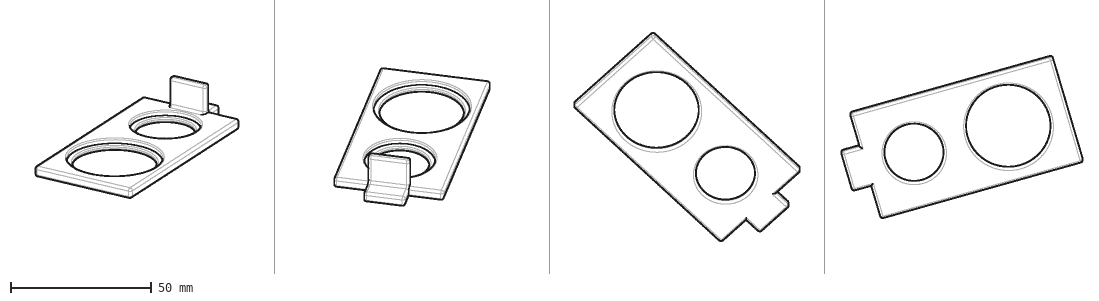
import cadquery as cq

PLATE_WIDTH = 40.0
PLATE_LENGTH = 75.0
PLATE_THICKNESS = 4.0
EDGE_RADIUS = 1.0

OVERALL_LENGTH = 82.0
OVERALL_HEIGHT = 15.0
HOOK_WIDTH = 15.0
UPRIGHT_THICKNESS = 3.0
HOOK_EMBED = 8.0

RIM_RADIUS = 0.5
SEAT_DEPTH = 2.0
SMALL_BORE, SMALL_SEAT = 21.0, 25.3
LARGE_BORE, LARGE_SEAT = 30.0, 34.3
SMALL_CENTER_TO_REAR = 18.0
SMALL_CENTER_Y = PLATE_LENGTH - SMALL_CENTER_TO_REAR
LARGE_CENTER_Y = 22.05


def make_plate():
    plate = cq.Workplane("XY").box(
        PLATE_WIDTH, PLATE_LENGTH, PLATE_THICKNESS, centered=(True, False, False)
    )
    return plate.edges().fillet(EDGE_RADIUS)


def make_hook():
    """Inverted T: flared upright on a tab, with every outer edge rounded."""
    front_face = PLATE_LENGTH - UPRIGHT_THICKNESS
    flare_top = PLATE_THICKNESS + EDGE_RADIUS
    hook = (
        cq.Workplane("YZ", origin=(-HOOK_WIDTH / 2, 0, 0))
        .moveTo(PLATE_LENGTH - HOOK_EMBED, 0)
        .lineTo(OVERALL_LENGTH, 0)
        .lineTo(OVERALL_LENGTH, PLATE_THICKNESS)
        .lineTo(PLATE_LENGTH + EDGE_RADIUS, PLATE_THICKNESS)
        .radiusArc((PLATE_LENGTH, flare_top), EDGE_RADIUS)
        .lineTo(PLATE_LENGTH, OVERALL_HEIGHT)
        .lineTo(front_face, OVERALL_HEIGHT)
        .lineTo(front_face, flare_top)
        .radiusArc((front_face - EDGE_RADIUS, PLATE_THICKNESS), EDGE_RADIUS)
        .lineTo(PLATE_LENGTH - HOOK_EMBED, PLATE_THICKNESS)
        .close()
        .extrude(HOOK_WIDTH)
    )
    side_edges = hook.faces("<X or >X").edges()
    end_edges = hook.edges("|X").edges("<Y or >Y or >Z or <Z")
    return side_edges.add(end_edges).fillet(EDGE_RADIUS)


def make_opening(bore, seat, center_y):
    """Cutter for a bore with a wider seat above it, with every convex rim rounded."""
    bore_radius = bore / 2
    seat_radius = seat / 2
    seat_z = PLATE_THICKNESS - SEAT_DEPTH
    return (
        cq.Workplane("XZ", origin=(0, center_y, 0))
        .lineTo(bore_radius + EDGE_RADIUS, 0)
        .radiusArc((bore_radius, EDGE_RADIUS), EDGE_RADIUS)
        .lineTo(bore_radius, seat_z - RIM_RADIUS)
        .radiusArc((bore_radius + RIM_RADIUS, seat_z), RIM_RADIUS)
        .lineTo(seat_radius, seat_z)
        .lineTo(seat_radius, PLATE_THICKNESS - RIM_RADIUS)
        .radiusArc((seat_radius + RIM_RADIUS, PLATE_THICKNESS), RIM_RADIUS)
        .lineTo(0, PLATE_THICKNESS)
        .close()
        .revolve(360, (0, 0, 0), (0, 1, 0))
    )


result = make_plate().union(make_hook())
for bore, seat, center_y in (
    (SMALL_BORE, SMALL_SEAT, SMALL_CENTER_Y),
    (LARGE_BORE, LARGE_SEAT, LARGE_CENTER_Y),
):
    result = result.cut(make_opening(bore, seat, center_y))